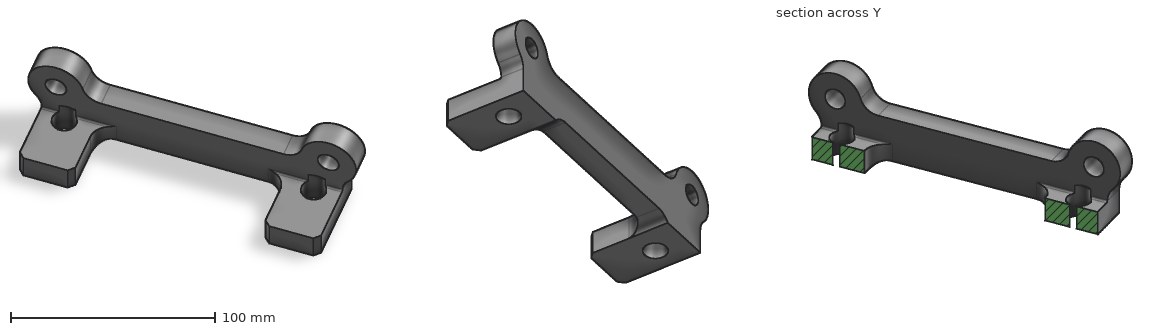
import cadquery as cq
import math

bar_thickness = 13.0
bar_top = 28.0
bar_bottom = 4.0

eye_spacing = 142.0
eye_height = 31.0
eye_radius = 14.5
eye_hole_diameter = 11.0

foot_outer_x = 78.5
foot_width = 29.0
foot_height = 13.0
foot_depth = 47.0
foot_corner_chamfer = 3.0
root_fillet = 1.0

blend_radius = 10.0

mount_hole_diameter = 12.5
mount_hole_spacing = 130.0
mount_hole_y = -17.5
mount_hole_depth = 17.5
drill_point_angle = 118.0

eye_x = eye_spacing / 2
foot_inner_x = foot_outer_x - foot_width
mount_hole_x = mount_hole_spacing / 2
plate_front_y = -bar_thickness
foot_front_y = -foot_depth


def point_on_line(start, end, distance):
    """Point on the line from start to end, at a distance from start."""
    share = distance / math.dist(start, end)
    return (start[0] + share * (end[0] - start[0]), start[1] + share * (end[1] - start[1]))


def arc_middle(center, start, end):
    """Middle of the shorter arc that runs from start to end around center."""
    chord_middle = ((start[0] + end[0]) / 2, (start[1] + end[1]) / 2)
    return point_on_line(center, chord_middle, math.dist(center, start))


def plate_half():
    """Right half of the upright plate: bar, eye and the neck below it, down to z = 0."""
    eye = (eye_x, eye_height)
    eye_top = (eye_x, eye_height + eye_radius)
    center_distance = eye_radius + blend_radius

    top_center_z = bar_top + blend_radius
    top_center_x = eye_x - math.sqrt(center_distance**2 - (top_center_z - eye_height) ** 2)
    top_center = (top_center_x, top_center_z)
    top_start = (top_center_x, bar_top)
    top_end = point_on_line(eye, top_center, eye_radius)

    side_center_x = foot_outer_x + blend_radius
    side_center_z = eye_height - math.sqrt(center_distance**2 - (side_center_x - eye_x) ** 2)
    side_center = (side_center_x, side_center_z)
    side_start = point_on_line(eye, side_center, eye_radius)
    side_end = (foot_outer_x, side_center_z)

    return (
        cq.Workplane("XZ")
        .lineTo(0, bar_top)
        .lineTo(*top_start)
        .threePointArc(arc_middle(top_center, top_start, top_end), top_end)
        .threePointArc(eye_top, side_start)
        .threePointArc(arc_middle(side_center, side_start, side_end), side_end)
        .lineTo(foot_outer_x, 0)
        .close()
        .extrude(bar_thickness)
    )


def foot():
    """Right foot in front of the plate, with a round blend into the plate's front face."""
    blend_center = (foot_inner_x - blend_radius, plate_front_y - blend_radius)
    blend_start = (foot_inner_x, blend_center[1])
    blend_end = (blend_center[0], plate_front_y)
    outline = (
        cq.Workplane("XY")
        .moveTo(foot_outer_x, plate_front_y)
        .lineTo(foot_outer_x, foot_front_y + foot_corner_chamfer)
        .lineTo(foot_outer_x - foot_corner_chamfer, foot_front_y)
        .lineTo(foot_inner_x + foot_corner_chamfer, foot_front_y)
        .lineTo(foot_inner_x, foot_front_y + foot_corner_chamfer)
        .lineTo(*blend_start)
        .threePointArc(arc_middle(blend_center, blend_start, blend_end), blend_end)
        .close()
        .extrude(foot_height + root_fillet)
    )
    root_top = (plate_front_y, foot_height + root_fillet)
    root_front = (plate_front_y - root_fillet, foot_height)
    root_center = (root_front[0], root_top[1])
    profile = (
        cq.Workplane("YZ")
        .moveTo(plate_front_y, 0)
        .lineTo(*root_top)
        .threePointArc(arc_middle(root_center, root_top, root_front), root_front)
        .lineTo(foot_front_y, foot_height)
        .lineTo(foot_front_y, 0)
        .close()
        .extrude(foot_outer_x)
    )
    return outline.intersect(profile)


def space_under_bar():
    """Right half of the clearance below the bar, ending in an arc at the foot's inner bottom edge."""
    center_z = bar_bottom - blend_radius
    center_x = foot_inner_x - math.sqrt(blend_radius**2 - center_z**2)
    arc_start = (center_x, bar_bottom)
    arc_end = (foot_inner_x, 0)
    return (
        cq.Workplane("XZ")
        .lineTo(0, bar_bottom)
        .lineTo(*arc_start)
        .threePointArc(arc_middle((center_x, center_z), arc_start, arc_end), arc_end)
        .close()
        .extrude(foot_depth)
    )


def eye_hole():
    """Bore through the eye along Y."""
    return (
        cq.Workplane("XZ")
        .center(eye_x, eye_height)
        .circle(eye_hole_diameter / 2)
        .extrude(bar_thickness)
    )


def mount_hole():
    """Hole drilled upward through the foot, with a conical end inside the plate."""
    radius = mount_hole_diameter / 2
    tip_height = radius / math.tan(math.radians(drill_point_angle / 2))
    return (
        cq.Workplane("XZ")
        .lineTo(radius, 0)
        .lineTo(radius, mount_hole_depth)
        .lineTo(0, mount_hole_depth + tip_height)
        .close()
        .revolve(360, (0, 0, 0), (0, 1, 0))
        .translate((mount_hole_x, mount_hole_y, 0))
    )


right_half = (
    plate_half()
    .union(foot())
    .cut(space_under_bar())
    .cut(eye_hole())
    .cut(mount_hole())
)
left_half = right_half.mirror("YZ")
result = right_half.union(left_half).clean()